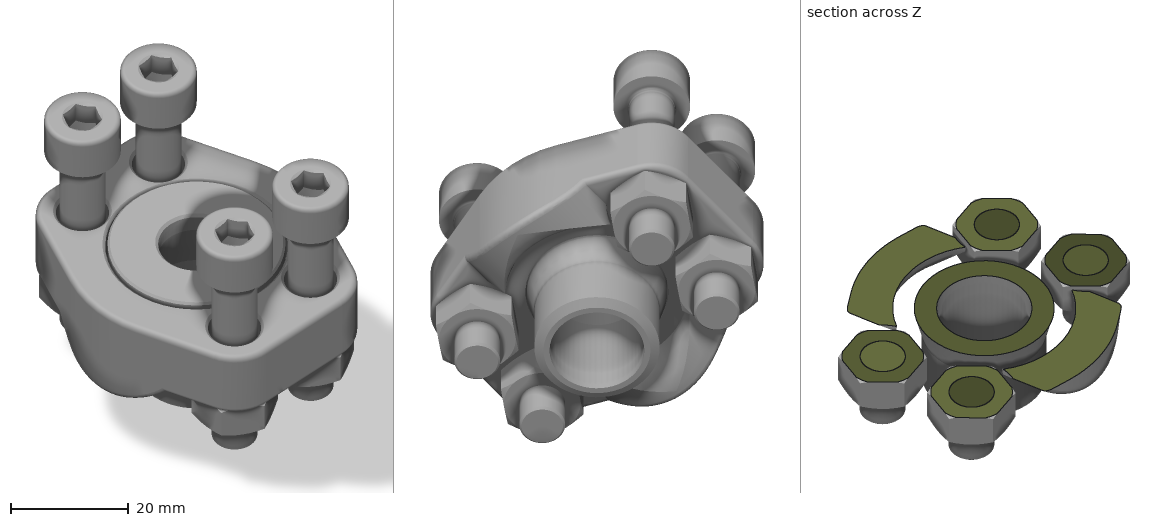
import cadquery as cq
import math


bolt_x = 19.05
bolt_y = 8.75
bolt_points = [(sx * bolt_x, sy * bolt_y) for sx in (-1, 1) for sy in (-1, 1)]

flange_length = 54.0
flange_width = 45.95
flange_thickness = 13.0
dome_depth = 18.9
dome_radius = 17.15
edge_round = 1.0
edge_chamfer = 0.5
corner_radius = flange_length / 2 - bolt_x
crown_radius = flange_width / 2
bolt_hole_d = 9.0
neck_hole_d = 24.25
recess_d = 30.95
recess_depth = 6.2

neck_top = 0.5
neck_bottom = -29.45
collar_d = 30.2
collar_chamfer = 0.4
body_d = 23.8
pipe_d = 21.3
pipe_bore_d = 16.1
port_d = 13.0
outer_taper_top = -13.3
outer_taper_bottom = -18.45
port_length = 3.45
bore_taper_length = 8.65
weld_land = 1.0
weld_bevel_angle = 30.0

thread_d = 7.8
shank_d = 8.0
screw_length = 40.0
head_d = 13.0
head_height = 8.0
head_top = 22.2
head_round = 0.8
under_head_round = 0.4
shank_length = 0.8
screw_tip_chamfer = 0.4
socket_corners = 6.8
socket_turn = 7.0
socket_depth = 4.0
socket_mouth_d = 6.95
socket_mouth_angle = 120.0
drill_point_angle = 118.0

nut_flats = 13.0
nut_height = 6.5
nut_bevel_angle = 30.0
nut_clearance = 0.2

nut_corners = nut_flats * 2 / math.sqrt(3)


def cylinder(diameter, z_low, z_high):
    return cq.Workplane("XY").workplane(offset=z_low).circle(diameter / 2).extrude(z_high - z_low)


def hexagon(corners, z_low, z_high):
    """Hexagonal prism with two corners on the X axis, sized across its corners."""
    return cq.Workplane("XY").workplane(offset=z_low).polygon(6, corners).extrude(z_high - z_low)


def revolve_profile(points):
    """Solid of revolution about Z from (radius, z) points."""
    return cq.Workplane("XZ").polyline(points).close().revolve(360, (0, 0, 0), (0, 1, 0))


def flange_outline():
    """Crown arcs and bolt corner arcs joined by their common tangent lines."""
    bolt_distance = math.hypot(bolt_x, bolt_y)
    lean = math.asin((crown_radius - corner_radius) / bolt_distance) - math.atan2(bolt_y, bolt_x)
    crown_x = crown_radius * math.sin(lean)
    crown_y = crown_radius * math.cos(lean)
    corner_x = bolt_x + corner_radius * math.sin(lean)
    corner_y = bolt_y + corner_radius * math.cos(lean)
    middle = (math.pi / 2 - lean) / 2
    middle_x = bolt_x + corner_radius * math.cos(middle)
    middle_y = bolt_y + corner_radius * math.sin(middle)
    side_x = flange_length / 2
    return (
        cq.Workplane("XY")
        .moveTo(-crown_x, crown_y)
        .threePointArc((0, crown_radius), (crown_x, crown_y))
        .lineTo(corner_x, corner_y)
        .threePointArc((middle_x, middle_y), (side_x, bolt_y))
        .lineTo(side_x, -bolt_y)
        .threePointArc((middle_x, -middle_y), (corner_x, -corner_y))
        .lineTo(crown_x, -crown_y)
        .threePointArc((0, -crown_radius), (-crown_x, -crown_y))
        .lineTo(-corner_x, -corner_y)
        .threePointArc((-middle_x, -middle_y), (-side_x, -bolt_y))
        .lineTo(-side_x, bolt_y)
        .threePointArc((-middle_x, middle_y), (-corner_x, corner_y))
        .close()
    )


def flange_blank():
    """Plate with an arched dome below it that runs along Y."""
    dome_axis_z = dome_radius - dome_depth
    dome_half_width = math.sqrt(dome_radius**2 - (flange_thickness + dome_axis_z) ** 2)
    arch = (
        cq.Workplane("XZ")
        .moveTo(-flange_length, 0)
        .lineTo(-flange_length, -flange_thickness)
        .lineTo(-dome_half_width, -flange_thickness)
        .threePointArc((0, -dome_depth), (dome_half_width, -flange_thickness))
        .lineTo(flange_length, -flange_thickness)
        .lineTo(flange_length, 0)
        .close()
        .extrude(flange_width, both=True)
    )
    blank = flange_outline().extrude(-dome_depth).intersect(arch)
    rims = blank.edges("not |Z").edges("not |Y or >X or <X")
    return rims.fillet(edge_round)


def dome_relief():
    """Cutter that clears the dome around the neck and rounds its inner rim over its full height."""
    relief_r = recess_d / 2
    round_r = dome_depth - flange_thickness
    center_r = relief_r + round_r
    slant = round_r * math.sqrt(0.5)
    return (
        cq.Workplane("XZ")
        .moveTo(0, -flange_thickness)
        .lineTo(relief_r, -flange_thickness)
        .threePointArc((center_r - slant, -flange_thickness - slant), (center_r, -dome_depth))
        .lineTo(0, -dome_depth)
        .close()
        .revolve(360, (0, 0, 0), (0, 1, 0))
    )


def chamfered_hole(diameter, depth):
    """Cutter for a hole from the flange top, with its chamfered mouth."""
    radius = diameter / 2
    return revolve_profile([
        (0, 0),
        (radius + edge_chamfer, 0),
        (radius, -edge_chamfer),
        (radius, -depth),
        (0, -depth),
    ])


def make_flange():
    flange = flange_blank()
    flange = flange.cut(chamfered_hole(recess_d, recess_depth))
    flange = flange.cut(cylinder(neck_hole_d, -dome_depth, 0))
    flange = flange.cut(dome_relief())
    bolt_hole = chamfered_hole(bolt_hole_d, flange_thickness)
    nut_seat = cylinder(nut_corners + 2 * nut_clearance, -dome_depth, -flange_thickness)
    for x, y in bolt_points:
        flange = flange.cut(bolt_hole.translate((x, y, 0)))
        flange = flange.cut(nut_seat.translate((x, y, 0)))
    return flange


def make_weld_neck():
    pipe_r = pipe_d / 2
    bore_r = pipe_bore_d / 2
    port_r = port_d / 2
    land_r = bore_r + weld_land
    bevel_height = (pipe_r - land_r) * math.tan(math.radians(weld_bevel_angle))
    port_bottom = neck_top - port_length
    return revolve_profile([
        (port_r + edge_chamfer, neck_top),
        (collar_d / 2 - collar_chamfer, neck_top),
        (collar_d / 2, neck_top - collar_chamfer),
        (collar_d / 2, -recess_depth),
        (body_d / 2, -recess_depth),
        (body_d / 2, outer_taper_top),
        (pipe_r, outer_taper_bottom),
        (pipe_r, neck_bottom + bevel_height),
        (land_r, neck_bottom),
        (bore_r, neck_bottom),
        (bore_r, port_bottom - bore_taper_length),
        (port_r, port_bottom),
        (port_r, neck_top - edge_chamfer),
    ])


def socket_cutter():
    """Hexagonal socket with a drilled cone at its bottom and a bevelled round mouth."""
    corner_r = socket_corners / 2
    cone_height = corner_r / math.tan(math.radians(drill_point_angle / 2))
    mouth_r = socket_mouth_d / 2
    mouth_depth = mouth_r / math.tan(math.radians(socket_mouth_angle / 2))
    floor_z = head_top - socket_depth
    hex_hole = hexagon(socket_corners, floor_z - cone_height, head_top)
    hex_hole = hex_hole.rotate((0, 0, 0), (0, 0, 1), 90 + socket_turn)
    drill = revolve_profile([
        (0, head_top),
        (corner_r, head_top),
        (corner_r, floor_z),
        (0, floor_z - cone_height),
    ])
    mouth = revolve_profile([(0, head_top), (mouth_r, head_top), (0, head_top - mouth_depth)])
    return hex_hole.intersect(drill).union(mouth)


def make_screw(x, y):
    head_bottom = head_top - head_height
    tip = head_bottom - screw_length
    thread_r = thread_d / 2
    shank_r = shank_d / 2
    round_center_r = shank_r + under_head_round
    round_center_z = head_bottom - under_head_round
    slant = under_head_round * math.sqrt(0.5)
    shank_end = head_bottom - shank_length
    thread_start = shank_end - (shank_r - thread_r)
    head = cylinder(head_d, head_bottom, head_top).faces(">Z").edges().fillet(head_round)
    stem = (
        cq.Workplane("XZ")
        .moveTo(0, head_bottom)
        .lineTo(round_center_r, head_bottom)
        .threePointArc((round_center_r - slant, round_center_z + slant), (shank_r, round_center_z))
        .lineTo(shank_r, shank_end)
        .lineTo(thread_r, thread_start)
        .lineTo(thread_r, tip + screw_tip_chamfer)
        .lineTo(thread_r - screw_tip_chamfer, tip)
        .lineTo(0, tip)
        .close()
        .revolve(360, (0, 0, 0), (0, 1, 0))
    )
    screw = head.union(stem).cut(socket_cutter())
    return screw.translate((x, y, 0))


def make_nut(x, y):
    nut_top = -flange_thickness
    nut_bottom = nut_top - nut_height
    flat_r = nut_flats / 2
    corner_r = nut_corners / 2
    bevel_height = (corner_r - flat_r) * math.tan(math.radians(nut_bevel_angle))
    bevelled_round = revolve_profile([
        (thread_d / 2, nut_top),
        (flat_r, nut_top),
        (corner_r, nut_top - bevel_height),
        (corner_r, nut_bottom + bevel_height),
        (flat_r, nut_bottom),
        (thread_d / 2, nut_bottom),
    ])
    nut = hexagon(nut_corners, nut_bottom, nut_top).intersect(bevelled_round)
    return nut.translate((x, y, 0))


flange = make_flange()
weld_neck = make_weld_neck()
screws = [make_screw(x, y) for x, y in bolt_points]
nuts = [make_nut(x, y) for x, y in bolt_points]

result = cq.Compound.makeCompound([
    flange.val(),
    weld_neck.val(),
    *[screw.val() for screw in screws],
    *[nut.val() for nut in nuts],
])